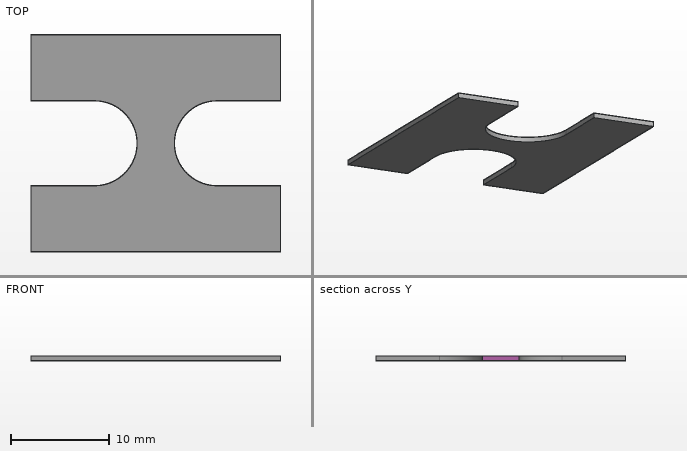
import cadquery as cq

length = 25.4
width = 22.1
thickness = 0.5

slot_width = 8.6
web_width = 3.8
slot_radius = slot_width / 2
arc_center_x = web_width / 2 + slot_radius


def end_slot(side):
    """Cutter for the slot opening at the +X (side=1) or -X (side=-1) end."""
    center_x = side * arc_center_x
    end_x = side * length / 2
    return (
        cq.Workplane("XY")
        .moveTo(end_x, slot_radius)
        .lineTo(center_x, slot_radius)
        .threePointArc((side * web_width / 2, 0), (center_x, -slot_radius))
        .lineTo(end_x, -slot_radius)
        .close()
        .extrude(thickness)
    )


result = cq.Workplane("XY").rect(length, width).extrude(thickness)
for side in (-1, 1):
    result = result.cut(end_slot(side))